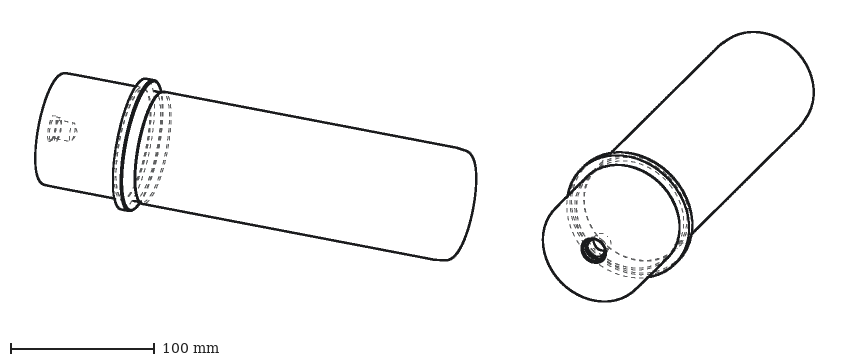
import cadquery as cq
import math

length = 300.0
body_radius = 40.0

head_taper_start = 10.2
head_round = 3.0
head_taper_drop = 0.15
tail_taper_length = 11.5
tail_taper_drop = 0.75
tail_round = 5.5

collar_start = 60.0
collar_width = 6.5
collar_radius = 46.5
collar_chamfer = 1.0
relief_depth = 1.0
head_relief_width = 1.2
tail_relief_width = 7.8
relief_slope = 1.0
collar_root_round = 1.5

counterbore_mouth_radius = 9.3
counterbore_radius = 8.5
counterbore_depth = 4.5
bore_radius = 6.5
bore_depth = 15.0
drill_point_angle = 120.0

collar_end = collar_start + collar_width
relief_radius = body_radius - relief_depth
head_relief_start = collar_start - head_relief_width
tail_relief_end = collar_end + tail_relief_width
head_rim_radius = body_radius - head_taper_drop
tail_rim_radius = body_radius - tail_taper_drop
arc_middle = 1 - math.sqrt(0.5)


def make_shaft():
    """Revolve the half profile, drawn as (axial position, radius), about X."""
    profile = (
        cq.Workplane("XY")
        .moveTo(0, 0)
        .lineTo(0, head_rim_radius - head_round)
        .threePointArc(
            (arc_middle * head_round, head_rim_radius - arc_middle * head_round),
            (head_round, head_rim_radius),
        )
        .lineTo(head_taper_start, body_radius)
        .lineTo(head_relief_start, body_radius)
        .lineTo(head_relief_start + relief_slope, relief_radius)
        .lineTo(collar_start, relief_radius)
        .lineTo(collar_start, collar_radius)
        .lineTo(collar_end - collar_chamfer, collar_radius)
        .lineTo(collar_end, collar_radius - collar_chamfer)
        .lineTo(collar_end, relief_radius + collar_root_round)
        .threePointArc(
            (
                collar_end + arc_middle * collar_root_round,
                relief_radius + arc_middle * collar_root_round,
            ),
            (collar_end + collar_root_round, relief_radius),
        )
        .lineTo(tail_relief_end - relief_slope, relief_radius)
        .lineTo(tail_relief_end, body_radius)
        .lineTo(length - tail_taper_length, body_radius)
        .lineTo(length - tail_round, tail_rim_radius)
        .threePointArc(
            (length - arc_middle * tail_round, tail_rim_radius - arc_middle * tail_round),
            (length, tail_rim_radius - tail_round),
        )
        .lineTo(length, 0)
        .close()
    )
    return profile.revolve(360, (0, 0, 0), (1, 0, 0))


def make_centre_hole():
    """Return the solid removed by the centre hole in the head face."""
    mouth_chamfer = counterbore_mouth_radius - counterbore_radius
    point_depth = bore_radius / math.tan(math.radians(drill_point_angle / 2))
    profile = (
        cq.Workplane("XY")
        .moveTo(0, 0)
        .lineTo(0, counterbore_mouth_radius)
        .lineTo(mouth_chamfer, counterbore_radius)
        .lineTo(counterbore_depth, counterbore_radius)
        .lineTo(counterbore_depth, bore_radius)
        .lineTo(bore_depth, bore_radius)
        .lineTo(bore_depth + point_depth, 0)
        .close()
    )
    return profile.revolve(360, (0, 0, 0), (1, 0, 0))


result = make_shaft().cut(make_centre_hole())